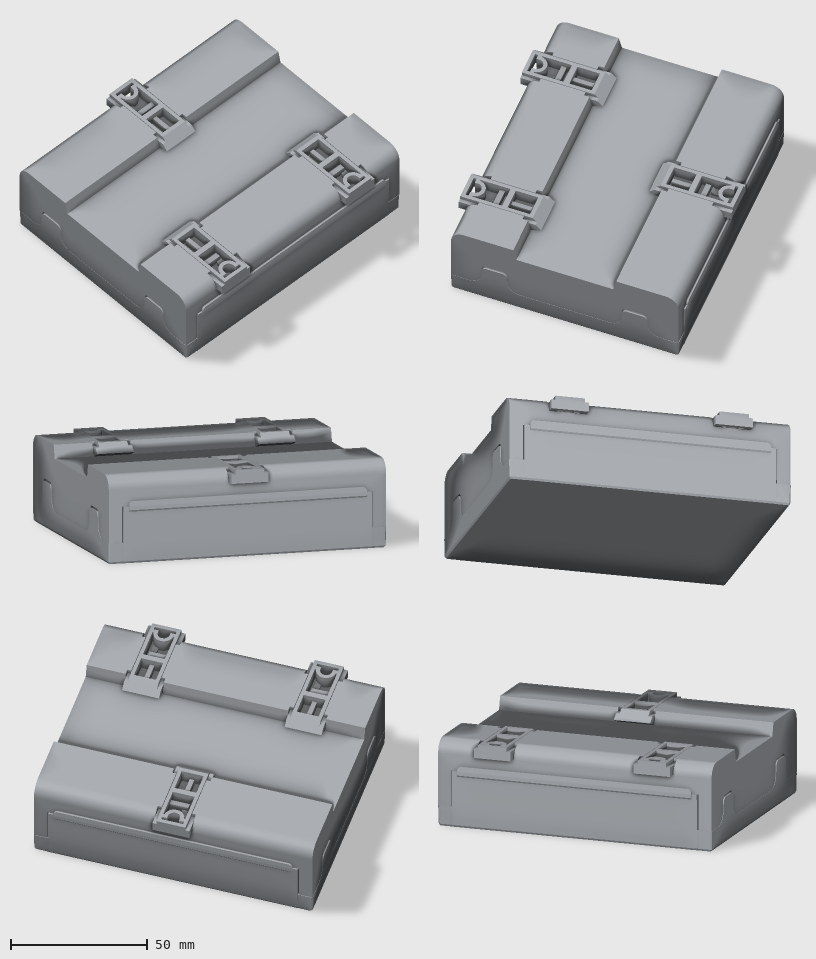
import cadquery as cq
import math

height = 32.8
overall_y = 107.5
parting_z = 7.7
clearance = 0.2

housing_half_x = 44.6
housing_half_y = 53.4
channel_depth = 5.0
channel_floor_half = 19.0
channel_top_half = 20.2
channel_z = height - channel_depth

draft = 1.3
cover_half_x = 44.6
corner_chamfer = 0.4
bottom_chamfer = 0.4
bottom_chamfer_height = 0.8
wall_thickness = 2.2

tongue_x = 27.5
tongue_half_width = 5.0
tongue_top_z = 17.4
cover_half_y = overall_y / 2 - tongue_top_z * math.tan(math.radians(draft))
tongue_corner = 2.2
tongue_flare = 4.9
tongue_gap = 0.9

tab_half_x = 44.7
tab_half_y = 47.8
tab_top_z = 21.3
tab_opening_half_y = tab_half_y + 2 * clearance

ridge_half_y = 45.8
ridge_bottom_z = 18.7
ridge_edge_z = 19.9
ridge_top_z = 23.2
ridge_x = 45.6
ridge_top_x = 45.4
ridge_corner = 1.7

latch_end_x = 47.5
latch_width = 14.2
latch_top_width = 11.2
latch_flange_z = 31.3
latch_y = 31.2
nose_x = 15.2
nose_z = 29.2
nose_top_x = 19.0
lip_start_x = 22.4
lip_end_x = 40.0

pocket_half_width = 4.2
inner_pocket = (20.6, 29.5)
outer_pocket_start = 31.6
end_slot = (44.8, 46.0)
eye_x = 43.6
eye_outer_radius = 3.8
eye_inner_radius = 2.3
web_x = 43.3
insert_z = 30.5
rib_start_x = 21.5
rib_width = 1.7
bar = (33.6, 35.7)
bar_end_y = 3.0
ramp_start_x = 36.4
ramp_foot_x = 37.7
ramp_top_z = 29.8
ramp_foot_z = 28.6
ramp_y = (0.9, 3.1)


def block(x_range, y_range, z_range):
    """Box between pairs of limits along X, Y and Z."""
    (x0, x1), (y0, y1), (z0, z1) = x_range, y_range, z_range
    return cq.Workplane("XY").box(x1 - x0, y1 - y0, z1 - z0, centered=False).translate((x0, y0, z0))


def along_y(profile, y0, y1):
    """Extrude a closed XZ profile from y0 to y1."""
    return profile.extrude(y0 - y1).translate((0, y0, 0))


def both_sides(solid, plane):
    """Solid together with its mirror image."""
    return solid.union(solid.mirror(plane))


def ridges():
    profile = cq.Workplane("XZ").polyline([
        (housing_half_x, ridge_top_z),
        (ridge_top_x, ridge_top_z),
        (ridge_x, tab_top_z),
        (ridge_x, ridge_edge_z),
        (tab_half_x, ridge_bottom_z),
        (housing_half_x, ridge_bottom_z),
    ]).close()
    outline = block((0, latch_end_x), (-ridge_half_y, ridge_half_y), (0, ridge_top_z))
    outline = outline.edges("|X and >Z").fillet(ridge_corner)
    ridge = along_y(profile, -ridge_half_y, ridge_half_y).intersect(outline)
    return both_sides(ridge, "YZ")


def tongue_profile(x, top_z):
    """Tongue outline with rounded top corners, flared into the parting level."""
    side, flare, corner = tongue_half_width, tongue_flare, tongue_corner
    return (
        cq.Workplane("XZ")
        .moveTo(x - side - flare, parting_z)
        .radiusArc((x - side, parting_z + flare), -flare)
        .lineTo(x - side, top_z - corner)
        .radiusArc((x - side + corner, top_z), corner)
        .lineTo(x + side - corner, top_z)
        .radiusArc((x + side, top_z - corner), corner)
        .lineTo(x + side, parting_z + flare)
        .radiusArc((x + side + flare, parting_z), -flare)
        .close()
    )


def tongues(top_z):
    """All four tongue shapes, running outward past both ends."""
    inner_y = housing_half_y - wall_thickness
    front = None
    for x in (-tongue_x, tongue_x):
        tongue = along_y(tongue_profile(x, top_z), inner_y, housing_half_y + wall_thickness)
        front = tongue if front is None else front.union(tongue)
    return both_sides(front, "XZ")


def lean(z):
    """Outward shift of a drafted wall at level z."""
    return z * math.tan(math.radians(draft))


def cover_section(z, inset):
    """Rectangular section of the cover at level z with its corners cut off."""
    half_x = cover_half_x + lean(z) - inset
    half_y = cover_half_y + lean(z) - inset
    cut_x = half_x - corner_chamfer
    cut_y = half_y - corner_chamfer
    return cq.Wire.makePolygon([
        cq.Vector(half_x, -cut_y, z),
        cq.Vector(half_x, cut_y, z),
        cq.Vector(cut_x, half_y, z),
        cq.Vector(-cut_x, half_y, z),
        cq.Vector(-half_x, cut_y, z),
        cq.Vector(-half_x, -cut_y, z),
        cq.Vector(-cut_x, -half_y, z),
        cq.Vector(cut_x, -half_y, z),
    ], close=True)


def cover_envelope():
    """Drafted block that bounds the slab and the tongues."""
    return cq.Workplane(cq.Solid.makeLoft([
        cover_section(0, bottom_chamfer),
        cover_section(bottom_chamfer_height, 0),
        cover_section(tongue_top_z, 0),
    ], True))


def tab():
    """Drafted side tab on +X, from the cover bottom up to the tab top."""
    inner_x = housing_half_x - wall_thickness
    profile = cq.Workplane("XZ").polyline([
        (inner_x, 0),
        (tab_half_x - bottom_chamfer, 0),
        (tab_half_x + lean(bottom_chamfer_height), bottom_chamfer_height),
        (tab_half_x + lean(tab_top_z), tab_top_z),
        (inner_x, tab_top_z),
    ]).close()
    return along_y(profile, -tab_half_y, tab_half_y)


def make_cover():
    slab = block((-latch_end_x, latch_end_x), (-2 * cover_half_y, 2 * cover_half_y), (0, parting_z))
    cover = cover_envelope().intersect(slab.union(tongues(tongue_top_z)))
    lower_ridges = ridges().intersect(
        block((-latch_end_x, latch_end_x), (-ridge_half_y, ridge_half_y), (0, tab_top_z)))
    return cover.union(both_sides(tab(), "YZ")).union(lower_ridges)


def latch_pockets():
    walls = (-pocket_half_width, pocket_half_width)
    through = (channel_z, height)
    inner = block(inner_pocket, walls, through)
    outer = block((outer_pocket_start, web_x), walls, through)
    eye = (
        cq.Workplane("XY", origin=(eye_x, 0, channel_z))
        .circle(eye_outer_radius).extrude(channel_depth)
    )
    eye_bore = (
        cq.Workplane("XY", origin=(eye_x, 0, channel_z))
        .circle(eye_inner_radius).extrude(channel_depth)
    )
    eye_mouth = block((eye_x, end_slot[0]), (-eye_inner_radius, eye_inner_radius), through)
    slot = block(end_slot, walls, through)
    return inner.union(outer.cut(eye)).union(eye_bore).union(eye_mouth).union(slot)


def latch_inserts():
    """Rib, cross bar and ramp standing inside the pockets."""
    tall = (channel_z, insert_z)
    rib = block((rib_start_x, inner_pocket[1]), (-rib_width / 2, rib_width / 2), tall)
    cross_bar = block(bar, (-pocket_half_width, bar_end_y), tall)
    ramp_profile = cq.Workplane("XZ").polyline([
        (ramp_start_x, channel_z),
        (ramp_start_x, ramp_top_z),
        (ramp_foot_x, ramp_foot_z),
        (eye_x - eye_inner_radius, ramp_foot_z),
        (eye_x - eye_inner_radius, channel_z),
    ]).close()
    return rib, cross_bar, along_y(ramp_profile, *ramp_y)


def make_latch(side, y):
    """Latch on the +X (side = 1) or -X (side = -1) edge, centred at y."""
    profile = cq.Workplane("XZ").polyline([
        (nose_x, nose_z),
        (nose_top_x, height),
        (latch_end_x, height),
        (latch_end_x, channel_z),
        (channel_floor_half, channel_z),
    ]).close()
    latch = along_y(profile, -latch_width / 2, latch_width / 2)
    for flange_side in (-1, 1):
        rebate_y = sorted((flange_side * latch_top_width / 2, flange_side * latch_width / 2))
        latch = latch.cut(block((nose_x, latch_end_x), rebate_y, (latch_flange_z, height)))
    latch = latch.cut(latch_pockets())
    for insert in latch_inserts():
        latch = latch.union(insert)
    if side < 0:
        latch = latch.rotate((0, 0, 0), (0, 0, 1), 180)
    return latch.translate((0, y, 0))


def latch_slot(side, y):
    """T-shaped slot; its lips cover the latch flanges along the middle stretch."""
    half_wide = latch_width / 2 + clearance
    half_narrow = latch_top_width / 2 + clearance
    wide = (y - half_wide, y + half_wide)
    x_range = sorted((side * channel_floor_half, side * latch_end_x))
    slot = block(x_range, wide, (channel_z, height))
    lip_x = sorted((side * lip_start_x, side * lip_end_x))
    for lip_y in ((wide[0], y - half_narrow), (y + half_narrow, wide[1])):
        slot = slot.cut(block(lip_x, lip_y, (latch_flange_z, height)))
    return slot


def make_housing(latch_places):
    shoulder_x = housing_half_x - channel_depth
    profile = (
        cq.Workplane("XZ")
        .moveTo(-housing_half_x, parting_z)
        .lineTo(-housing_half_x, channel_z)
        .radiusArc((-shoulder_x, height), channel_depth)
        .lineTo(-channel_top_half, height)
        .lineTo(-channel_floor_half, channel_z)
        .lineTo(channel_floor_half, channel_z)
        .lineTo(channel_top_half, height)
        .lineTo(shoulder_x, height)
        .radiusArc((housing_half_x, channel_z), channel_depth)
        .lineTo(housing_half_x, parting_z)
        .close()
    )
    housing = along_y(profile, -housing_half_y, housing_half_y)
    housing = housing.cut(tongues(tongue_top_z + tongue_gap))

    tab_opening = block(
        (housing_half_x - wall_thickness, housing_half_x),
        (-tab_opening_half_y, tab_opening_half_y),
        (parting_z, tab_top_z),
    )
    housing = housing.cut(both_sides(tab_opening, "YZ"))

    for side, y in latch_places:
        housing = housing.cut(latch_slot(side, y))

    upper_ridges = ridges().intersect(
        block((-latch_end_x, latch_end_x), (-ridge_half_y, ridge_half_y), (tab_top_z, ridge_top_z)))
    return housing.union(upper_ridges)


latch_places = [(-1, 0), (1, -latch_y), (1, latch_y)]
housing = make_housing(latch_places)
cover = make_cover()
latches = [make_latch(side, y) for side, y in latch_places]

result = cq.Compound.makeCompound([
    housing.solids().val(),
    cover.solids().val(),
    *[latch.solids().val() for latch in latches],
])